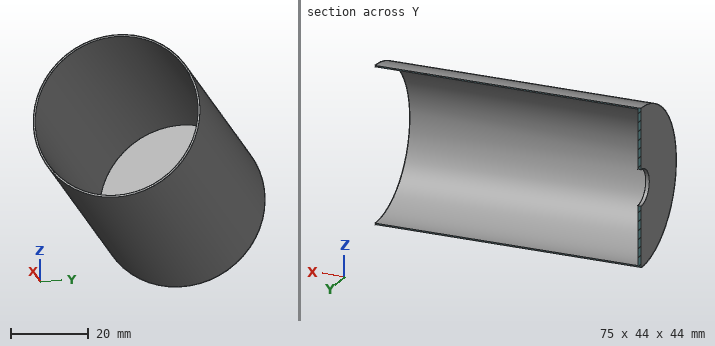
import cadquery as cq

length = 75.0
outer_diameter = 44.0
inner_diameter = 43.0
end_wall = 1.0
hole_diameter = 10.0


def disc(diameter, start, thickness):
    """Cylinder along +X whose near face lies at X = start."""
    return cq.Workplane("YZ", origin=(start, 0, 0)).circle(diameter / 2).extrude(thickness)


body = disc(outer_diameter, 0, length)

cavity = disc(inner_diameter, end_wall, length - end_wall)

hole = disc(hole_diameter, 0, end_wall)

result = body.cut(cavity).cut(hole)